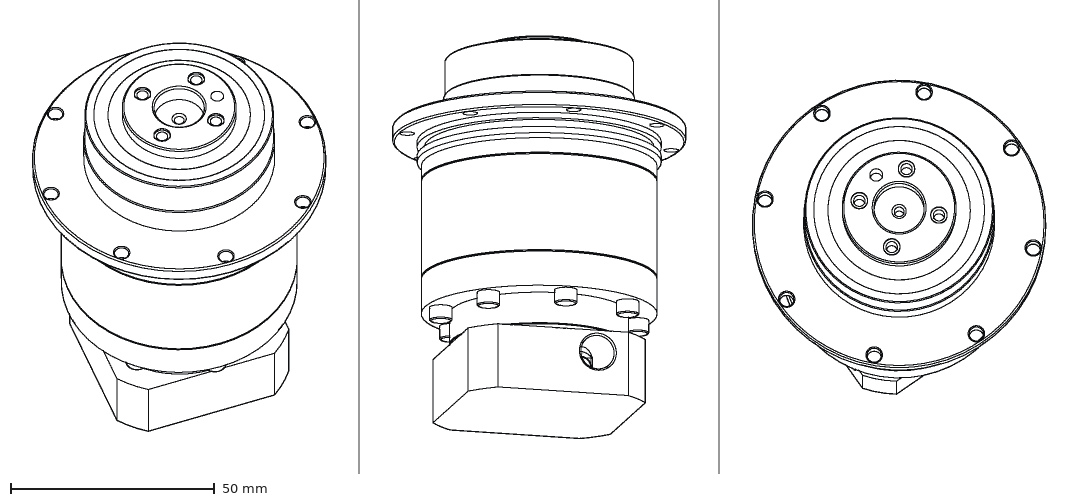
import cadquery as cq
import math


total_height = 92.0
face_z = 89.0
shoulder_z = 79.9
flange_top_z = 72.5
flange_bottom_z = 68.5
groove_top_z = 67.2
groove_bottom_z = 64.95
taper_top_z = 63.4
taper_bottom_z = 62.4
front_joint_z = 58.7
rear_joint_z = 34.0
rear_bottom_z = 25.0
neck_joint_z = 17.3
block_top_z = 16.0

hub_radius = 14.0
shaft_radius = 17.5
recess_radius = 21.0
pilot_radius = 23.2
shoulder_radius = 23.5
flange_diameter = 72.0
flange_radius = flange_diameter / 2
land_radius = 30.0
groove_radius = 28.2
body_radius = 29.0
neck_radius = 22.0

rim_chamfer = 0.5
edge_chamfer = 0.3
joint_chamfer = 0.4

face_recess_depth = 0.1
hub_chamfer = 0.4
hub_bore_radius = 6.2
hub_bore_depth = 4.6
hub_bore_chamfer = 0.5
hub_hole_count = 4
hub_hole_circle = 9.9
hub_hole_depth = 5.5
thread_radius = 1.4
thread_mouth_radius = 2.0
thread_mouth_depth = 0.55
dowel_radius = 1.6
center_hole_radius = 1.2
center_hole_mouth_radius = 1.75
drill_point_angle = 118.0
pattern_angle = -0.5

flange_hole_count = 8
flange_hole_circle = 33.5
flange_hole_radius = 1.75
flange_hole_chamfer = 0.3

bolt_count = 8
bolt_circle = 25.0
bolt_head_radius = 2.8
bolt_head_height = 3.4

block_width = 45.1
corner_radius = 28.0
bore_radius = 13.2
bore_bottom_z = 3.7

collar_radius = 12.8
collar_bottom_z = 4.6
screw_y = -8.8
screw_z = 10.6
access_radius = 4.2
access_chamfer = 0.5
access_end_x = 0.0
pocket_radius = 3.1
pocket_seat_x = -3.7
screw_head_radius = 2.8
screw_head_length = 3.0
socket_width = 2.5
socket_depth = 1.5


def cylinder(radius, bottom, top):
    return cq.Workplane("XY", origin=(0, 0, bottom)).circle(radius).extrude(top - bottom)


def side_cylinder(radius, start_x, end_x):
    """Cylinder along X on the clamp screw's axis."""
    return cq.Workplane("YZ", origin=(start_x, screw_y, screw_z)).circle(radius).extrude(end_x - start_x)


def cone(mouth_radius, tip_radius, height, top):
    """Cone on the main axis that narrows downward from `top`."""
    start = cq.Vector(0, 0, top)
    down = cq.Vector(0, 0, -1)
    return cq.Workplane(cq.Solid.makeCone(mouth_radius, tip_radius, height, start, down))


def drill_point_height(radius):
    return radius / math.tan(math.radians(drill_point_angle / 2))


def drilled_hole(radius, depth, top):
    """Blind hole with a conical drill point below its depth."""
    return cylinder(radius, top - depth, top).union(cone(radius, 0, drill_point_height(radius), top - depth))


def around_axis(body, radius, count, first_angle):
    """Copies of a body that stands on the main axis, moved out onto a circle."""
    copies = cq.Workplane("XY")
    for index in range(count):
        angle = math.radians(first_angle + index * 360 / count)
        copies = copies.add(body.translate((radius * math.cos(angle), radius * math.sin(angle), 0)))
    return copies.combine()


def make_shaft():
    hub = cylinder(hub_radius, face_z, total_height).faces(">Z").edges().chamfer(hub_chamfer)
    shaft = cylinder(shaft_radius, front_joint_z, face_z).union(hub)

    bore_floor_z = total_height - hub_bore_depth
    bore = cylinder(hub_bore_radius, bore_floor_z, total_height)
    bore_mouth_radius = hub_bore_radius + hub_bore_chamfer
    bore = bore.union(cone(bore_mouth_radius, hub_bore_radius, hub_bore_chamfer, total_height))
    center_hole = drilled_hole(center_hole_radius, hub_hole_depth, bore_floor_z)
    sink_depth = center_hole_mouth_radius - center_hole_radius
    countersink = cone(center_hole_mouth_radius, center_hole_radius, sink_depth, bore_floor_z)
    shaft = shaft.cut(bore).cut(center_hole).cut(countersink)

    thread = drilled_hole(thread_radius, hub_hole_depth, total_height)
    thread = thread.union(cylinder(thread_mouth_radius, total_height - thread_mouth_depth, total_height))
    dowel = drilled_hole(dowel_radius, hub_hole_depth, total_height)
    shaft = shaft.cut(around_axis(thread, hub_hole_circle, hub_hole_count, 45 + pattern_angle))
    return shaft.cut(around_axis(dowel, hub_hole_circle, 1, 90 + pattern_angle))


def make_front_housing():
    half_profile = [
        (shaft_radius, front_joint_z),
        (body_radius, front_joint_z),
        (body_radius, taper_bottom_z),
        (land_radius, taper_top_z),
        (land_radius, groove_bottom_z),
        (groove_radius, groove_bottom_z),
        (groove_radius, groove_top_z),
        (land_radius, groove_top_z),
        (land_radius, flange_bottom_z),
        (flange_radius - rim_chamfer, flange_bottom_z),
        (flange_radius, flange_bottom_z + rim_chamfer),
        (flange_radius, flange_top_z - rim_chamfer),
        (flange_radius - rim_chamfer, flange_top_z),
        (shoulder_radius, flange_top_z),
        (shoulder_radius, shoulder_z - edge_chamfer),
        (pilot_radius, shoulder_z),
        (pilot_radius, face_z - edge_chamfer),
        (pilot_radius - edge_chamfer, face_z),
        (recess_radius, face_z),
        (recess_radius, face_z - face_recess_depth),
        (shaft_radius, face_z - face_recess_depth),
    ]
    housing = cq.Workplane("XZ").polyline(half_profile).close().revolve(360, (0, 0), (0, 1))

    hole = cylinder(flange_hole_radius, flange_bottom_z, flange_top_z)
    hole_mouth_radius = flange_hole_radius + flange_hole_chamfer
    hole = hole.union(cone(hole_mouth_radius, flange_hole_radius, flange_hole_chamfer, flange_top_z))
    return housing.cut(around_axis(hole, flange_hole_circle, flange_hole_count, pattern_angle))


def make_ring_gear():
    return cylinder(body_radius, rear_joint_z, front_joint_z).faces(">Z").edges().chamfer(joint_chamfer)


def make_rear_housing():
    rear = cylinder(body_radius, rear_bottom_z, rear_joint_z).faces(">Z").edges().chamfer(joint_chamfer)
    rear = rear.union(cylinder(neck_radius, neck_joint_z, rear_bottom_z))
    head = cylinder(bolt_head_radius, rear_bottom_z - bolt_head_height, rear_bottom_z)
    head = head.faces("<Z").edges().chamfer(edge_chamfer)
    return rear.union(around_axis(head, bolt_circle, bolt_count, 0))


def make_motor_adapter():
    block = cq.Workplane("XY").rect(block_width, block_width).extrude(block_top_z)
    block = block.intersect(cylinder(corner_radius, 0, block_top_z))
    spigot = cylinder(neck_radius, block_top_z, neck_joint_z).faces(">Z").edges().chamfer(edge_chamfer)
    block = block.union(spigot).cut(cylinder(bore_radius, bore_bottom_z, neck_joint_z))

    block = block.cut(side_cylinder(access_radius, -block_width / 2, access_end_x))
    return block.faces("<X").edges("%CIRCLE").chamfer(access_chamfer)


def make_clamp_collar():
    collar = cylinder(collar_radius, collar_bottom_z, neck_joint_z)

    pocket = side_cylinder(pocket_radius, -collar_radius, pocket_seat_x)
    pocket_length = pocket_seat_x + collar_radius
    opening = (
        cq.Workplane("XY")
        .box(pocket_length, collar_radius, 2 * pocket_radius, centered=(False, False, True))
        .translate((-collar_radius, screw_y - collar_radius, screw_z))
    )
    collar = collar.cut(pocket).cut(opening)

    head_x = pocket_seat_x - screw_head_length
    head = side_cylinder(screw_head_radius, head_x, pocket_seat_x)
    head = head.faces("<X").edges().chamfer(edge_chamfer)
    socket = (
        cq.Workplane("YZ", origin=(head_x, screw_y, screw_z))
        .transformed(rotate=(0, 0, 90))
        .polygon(6, socket_width / math.cos(math.pi / 6))
        .extrude(socket_depth)
    )
    point_radius = socket_width / 2
    point = cq.Workplane(cq.Solid.makeCone(
        point_radius, 0, drill_point_height(point_radius),
        cq.Vector(head_x + socket_depth, screw_y, screw_z), cq.Vector(1, 0, 0),
    ))
    socket = socket.union(point)
    return collar.union(head.cut(socket))


shaft = make_shaft()
front_housing = make_front_housing()
ring_gear = make_ring_gear()
rear_housing = make_rear_housing()
motor_adapter = make_motor_adapter()
clamp_collar = make_clamp_collar()

result = cq.Compound.makeCompound([
    shaft.val(),
    front_housing.val(),
    ring_gear.val(),
    rear_housing.val(),
    motor_adapter.val(),
    clamp_collar.val(),
])